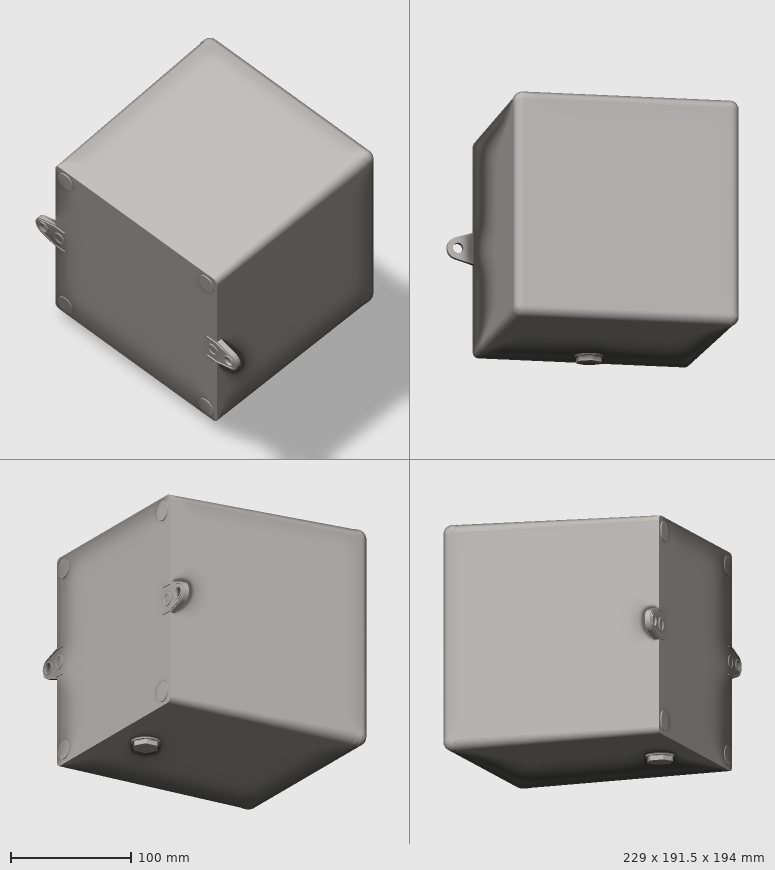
import cadquery as cq
import math

LID_WIDTH = 190.5
TOTAL_DEPTH = 190.5
LID_DEPTH = 12.0
LID_CORNER_RADIUS = 6.9
LID_FRONT_FILLET = 7.3
HOUSING_DEPTH = TOTAL_DEPTH - LID_DEPTH
HOUSING_CORNER_RADIUS = 8.0
DRAFT_ANGLE = 1.0
DRAFT_SLOPE = math.tan(math.radians(DRAFT_ANGLE))
BACK_HALF_WIDTH = LID_WIDTH / 2 - HOUSING_DEPTH * DRAFT_SLOPE

TIP_REACH = 114.5
TIP_RADIUS = 9.2
TIP_CENTER = TIP_REACH - TIP_RADIUS
LUG_HALF_WIDTH = 13.5
LUG_THICKNESS = 4.5
LUG_INNER_END = 81.0
LUG_HOLE_DIAMETER = 8.7

RIM_HEIGHT = 1.0
RIM_INSET = 1.1
RIM_WIDTH = 1.0
HOLE_RING_DIAMETER = 11.0
PAD_RING_CENTER = 87.5
PAD_RING_OUTER_DIAMETER = 12.0
PAD_RING_INNER_DIAMETER = 8.7

FOOT_DIAMETER = 17.0
FOOT_HEIGHT = 1.0
FOOT_SPACING = 160.3

PLUG_CENTER_Y = 31.1
WASHER_DIAMETER = 24.3
WASHER_THICKNESS = 1.49
HEX_ACROSS_FLATS = 20.0
HEX_CORNER_RADIUS = 3.0
HEX_HEIGHT = 4.4


def back_plane(y):
    """Sketch plane at depth y: local x is X, local y is Z, extrusion goes towards -Y."""
    return cq.Workplane("XZ", origin=(0, y, 0))


def lug_outline(inset):
    """Closed sketch of the +X lug, shrunk by inset: round tip, tapered flanks, straight root."""
    tip_radius = TIP_RADIUS - inset
    half_width = LUG_HALF_WIDTH - inset
    root_x = BACK_HALF_WIDTH
    along = TIP_CENTER - root_x
    corner_angle = math.atan2(half_width, along)
    flank_normal = math.pi - corner_angle - math.acos(tip_radius / math.hypot(along, half_width))
    tangent_x = TIP_CENTER + tip_radius * math.cos(flank_normal)
    tangent_z = tip_radius * math.sin(flank_normal)
    return (
        back_plane(0)
        .moveTo(LUG_INNER_END, -half_width)
        .lineTo(root_x, -half_width)
        .lineTo(tangent_x, -tangent_z)
        .threePointArc((TIP_CENTER + tip_radius, 0), (tangent_x, tangent_z))
        .lineTo(root_x, half_width)
        .lineTo(LUG_INNER_END, half_width)
        .close()
    )


def disc(x, z, diameter, height):
    """Disc standing on the back face; a negative height sinks it into the part."""
    return back_plane(0).center(x, z).circle(diameter / 2).extrude(height)


def make_lug():
    """The +X lug with its raised edge rim, hole ring, pad ring and through hole."""
    plate = lug_outline(0).extrude(-LUG_THICKNESS)
    edge_rim = lug_outline(RIM_INSET).extrude(RIM_HEIGHT)
    edge_rim = edge_rim.cut(lug_outline(RIM_INSET + RIM_WIDTH).extrude(RIM_HEIGHT))
    hole_ring = disc(TIP_CENTER, 0, HOLE_RING_DIAMETER, RIM_HEIGHT)
    pad_ring = disc(PAD_RING_CENTER, 0, PAD_RING_OUTER_DIAMETER, RIM_HEIGHT)
    pad_ring = pad_ring.cut(disc(PAD_RING_CENTER, 0, PAD_RING_INNER_DIAMETER, RIM_HEIGHT))
    hole = disc(TIP_CENTER, 0, LUG_HOLE_DIAMETER, RIM_HEIGHT)
    hole = hole.union(disc(TIP_CENTER, 0, LUG_HOLE_DIAMETER, -LUG_THICKNESS))
    return plate.union(edge_rim).union(hole_ring).union(pad_ring).cut(hole)


def make_housing():
    """Drafted box with one integral lug on each side."""
    seam_outline = cq.Sketch().rect(LID_WIDTH, LID_WIDTH).vertices().fillet(HOUSING_CORNER_RADIUS)
    box = back_plane(HOUSING_DEPTH).placeSketch(seam_outline).extrude(HOUSING_DEPTH, taper=DRAFT_ANGLE)
    lug = make_lug()
    return box.union(lug).union(lug.mirror("YZ")).clean()


def make_lid():
    """Square lid with rounded front edges and corners."""
    block = back_plane(TOTAL_DEPTH).rect(LID_WIDTH, LID_WIDTH).extrude(LID_DEPTH)
    rounded_front = block.faces(">Y").edges().fillet(LID_FRONT_FILLET)
    return rounded_front.edges("|Y").fillet(LID_CORNER_RADIUS)


def make_foot(x, z):
    """Flat round foot stuck on the back face."""
    return disc(x, z, FOOT_DIAMETER, FOOT_HEIGHT)


def plug_plane(height):
    """Plane parallel to the bottom wall, at the given height outside it."""
    draft = math.radians(DRAFT_ANGLE)
    wall_z = -(BACK_HALF_WIDTH + PLUG_CENTER_Y * DRAFT_SLOPE)
    outward = cq.Vector(0, -math.sin(draft), -math.cos(draft))
    origin = cq.Vector(0, PLUG_CENTER_Y, wall_z) + outward * height
    return cq.Workplane(cq.Plane(origin=origin, xDir=(1, 0, 0), normal=outward))


def make_washer():
    """Round washer on the bottom wall."""
    return plug_plane(0).circle(WASHER_DIAMETER / 2).extrude(WASHER_THICKNESS)


def make_hex_plug():
    """Hexagonal plug head with rounded corners, a flat side facing -Y."""
    across_corners = HEX_ACROSS_FLATS / math.cos(math.pi / 6)
    hexagon = cq.Sketch().regularPolygon(across_corners / 2, 6).vertices().fillet(HEX_CORNER_RADIUS)
    return plug_plane(WASHER_THICKNESS).placeSketch(hexagon).extrude(HEX_HEIGHT)


housing = make_housing()
lid = make_lid()
feet = [
    make_foot(side_x * FOOT_SPACING / 2, side_z * FOOT_SPACING / 2)
    for side_x in (-1, 1)
    for side_z in (-1, 1)
]
washer = make_washer()
hex_plug = make_hex_plug()

result = cq.Compound.makeCompound(
    [housing.val(), lid.val(), *[foot.val() for foot in feet], washer.val(), hex_plug.val()]
)